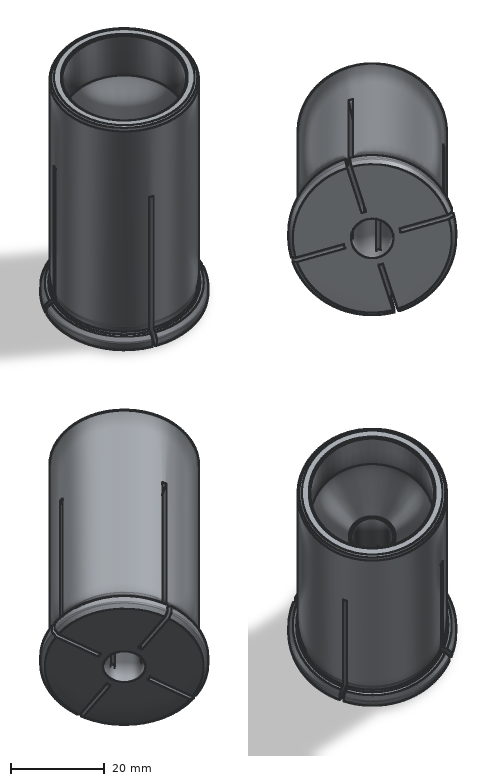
import cadquery as cq
import math

HEIGHT = 64.0
SLEEVE_DIAMETER = 32.0
FLANGE_DIAMETER = 36.0

FLANGE_HEIGHT = 4.0
FLANGE_BEVEL = 1.0
FLANGE_EDGE_ROUND = 0.5
COLLAR_FOOT_CHAMFER = 0.4
GROOVE_DEPTH = 0.1
GROOVE_TOP_HEIGHT = 6.2
GROOVE_RAMP = 0.6

RIM_BEVEL_HEIGHT = 0.95
RIM_BEVEL_WIDTH = 0.95
RIM_KNEE_DROP = 0.25
RIM_KNEE_INSET = 0.4

SOCKET_DIAMETER = 26.5
SOCKET_CHAMFER = 0.3
SOCKET_WALL_END = 52.15
SOCKET_CONE_ANGLE = 90.0
HOLE_DIAMETER = 9.0
CONE_FLOOR_DIAMETER = 10.0

SLOT_COUNT = 4
SLOT_WIDTH = 1.0
SLOT_TOP_AT_SLEEVE = 43.0
SLOT_TOP_SLOPE = 45.0
SLOT_FOOT_AT_HOLE = 4.75
SLOT_FOOT_SLOPE = 70.0

sleeve_radius = SLEEVE_DIAMETER / 2
flange_radius = FLANGE_DIAMETER / 2
socket_radius = SOCKET_DIAMETER / 2
hole_radius = HOLE_DIAMETER / 2
cone_floor_radius = CONE_FLOOR_DIAMETER / 2


def revolve_profile(points):
    """Revolve an (r, z) outline around the Z axis."""
    return cq.Workplane("XZ").polyline(points).close().revolve(360, (0, 0), (0, 1))


def make_body():
    groove_radius = sleeve_radius - GROOVE_DEPTH
    body = revolve_profile([
        (0, 0),
        (flange_radius - FLANGE_BEVEL, 0),
        (flange_radius, FLANGE_BEVEL),
        (flange_radius, FLANGE_HEIGHT - FLANGE_BEVEL),
        (flange_radius - FLANGE_BEVEL, FLANGE_HEIGHT),
        (groove_radius + COLLAR_FOOT_CHAMFER, FLANGE_HEIGHT),
        (groove_radius, FLANGE_HEIGHT + COLLAR_FOOT_CHAMFER),
        (groove_radius, GROOVE_TOP_HEIGHT - GROOVE_RAMP),
        (sleeve_radius, GROOVE_TOP_HEIGHT),
        (sleeve_radius, HEIGHT - RIM_BEVEL_HEIGHT),
        (sleeve_radius - RIM_KNEE_INSET, HEIGHT - RIM_KNEE_DROP),
        (sleeve_radius - RIM_BEVEL_WIDTH, HEIGHT),
        (0, HEIGHT),
    ])
    return body.edges(cq.selectors.RadiusNthSelector(-1)).fillet(FLANGE_EDGE_ROUND)


def make_bore():
    half_angle = math.radians(SOCKET_CONE_ANGLE / 2)
    cone_bottom = SOCKET_WALL_END - (socket_radius - cone_floor_radius) / math.tan(half_angle)
    return revolve_profile([
        (0, 0),
        (hole_radius, 0),
        (hole_radius, cone_bottom),
        (cone_floor_radius, cone_bottom),
        (socket_radius, SOCKET_WALL_END),
        (socket_radius, HEIGHT - SOCKET_CHAMFER),
        (socket_radius + SOCKET_CHAMFER, HEIGHT),
        (0, HEIGHT),
    ])


def make_slot():
    """One slot from the axis out past the flange along +X."""
    top_rise = math.tan(math.radians(SLOT_TOP_SLOPE))
    foot_rise = math.tan(math.radians(SLOT_FOOT_SLOPE))
    outer = flange_radius + 0.65
    outline = [
        (0, SLOT_FOOT_AT_HOLE + hole_radius * foot_rise),
        (hole_radius + SLOT_FOOT_AT_HOLE / foot_rise, 0),
        (outer, 0),
        (outer, SLOT_TOP_AT_SLEEVE + (outer - sleeve_radius) * top_rise),
        (0, SLOT_TOP_AT_SLEEVE - sleeve_radius * top_rise),
    ]
    return cq.Workplane("XZ").polyline(outline).close().extrude(SLOT_WIDTH / 2, both=True)


result = make_body().cut(make_bore())
for index in range(SLOT_COUNT):
    result = result.cut(make_slot().rotate((0, 0, 0), (0, 0, 1), index * 360 / SLOT_COUNT))